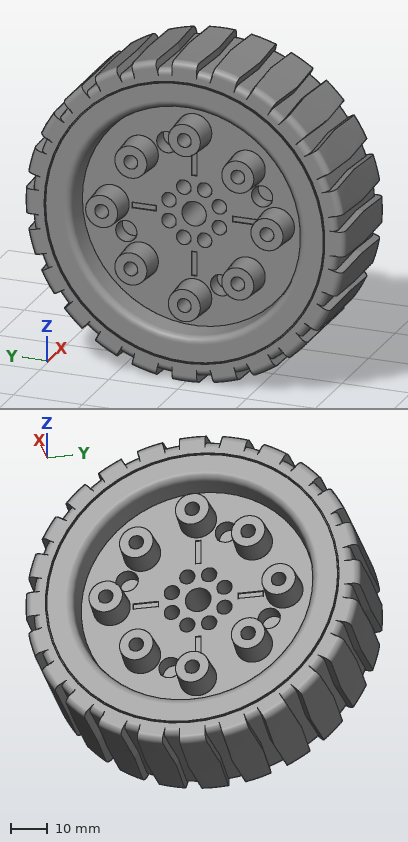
import cadquery as cq

outer_radius = 46.5
width = 30.0
half_width = width / 2
root_radius = 44.4
shoulder_radius = 1.9

lug_count = 24
lug_edge_width = 7.2
lug_middle_width = 8.9
lug_block_height = 7.4
lug_block_base = 40.0

seam_outer_radius = 40.7
seam_width = 0.4
seam_depth = 0.3

recess_depth = 7.4
recess_floor_radius = 32.5
recess_mouth_radius = 33.3
recess_edge_fillet = 2.0

boss_base_radius = 5.1
boss_top_radius = 4.65
boss_hole_diameter = 4.0
straight_boss_distance = 24.0
diagonal_boss_distance = 21.95

bore_diameter = 7.1
hub_hole_count = 8
hub_hole_diameter = 4.2
hub_hole_distance = 7.9

blind_hole_diameter = 6.1
blind_hole_depth = 5.0
blind_hole_y = 7.8
blind_hole_z = 19.7
slot_inner_end = 11.1
slot_outer_end = 18.0
slot_width = 1.6
slot_depth = 0.5

quarter_turns = (0, 90, 180, 270)
floor_x = -half_width + recess_depth


def turned(shape, angle):
    """Turn a shape about the wheel axis."""
    return shape.rotate((0, 0, 0), (1, 0, 0), angle)


def mirrored(shape):
    """The same shape on the opposite side of the wheel."""
    return shape.mirror("YZ")


def cylinder_along_x(start_x, radius, length):
    return cq.Workplane("YZ", origin=(start_x, 0, 0)).circle(radius).extrude(length)


def rounded_disc(radius):
    """Full-width disc with both rims rounded."""
    return cylinder_along_x(-half_width, radius, width).edges().fillet(shoulder_radius)


def make_lugs():
    """Lugs that widen towards the middle of the tyre, trimmed to the outer round."""
    edge = lug_edge_width / 2
    middle = lug_middle_width / 2
    outline = [
        (-half_width, -edge),
        (0, -middle),
        (half_width, -edge),
        (half_width, edge),
        (0, middle),
        (-half_width, edge),
    ]
    block = cq.Workplane("XY", origin=(0, 0, lug_block_base)).polyline(outline).close()
    block = block.extrude(lug_block_height)
    lug = block.intersect(rounded_disc(outer_radius))
    return [turned(lug, i * 360 / lug_count) for i in range(lug_count)]


def make_recess():
    """Tapered round recess in the -X side."""
    profile = [
        (-half_width, 0),
        (floor_x, 0),
        (floor_x, recess_floor_radius),
        (-half_width, recess_mouth_radius),
    ]
    return cq.Workplane("XY").polyline(profile).close().revolve(360, (0, 0, 0), (1, 0, 0))


def make_seam():
    outer = cylinder_along_x(-half_width, seam_outer_radius, seam_depth)
    inner = cylinder_along_x(-half_width, seam_outer_radius - seam_width, seam_depth)
    return outer.cut(inner)


def boss_centers():
    """(turn, distance) of each boss from the wheel axis."""
    straight = [(angle, straight_boss_distance) for angle in quarter_turns]
    diagonal = [(angle + 45, diagonal_boss_distance) for angle in quarter_turns]
    return straight + diagonal


def make_boss():
    """Tapered boss on the wheel axis."""
    top = cq.Vector(-half_width, 0, 0)
    axis = cq.Vector(1, 0, 0)
    return cq.Workplane(cq.Solid.makeCone(boss_top_radius, boss_base_radius, recess_depth, top, axis))


def make_slot():
    length = slot_outer_end - slot_inner_end
    middle = (slot_outer_end + slot_inner_end) / 2
    return cq.Workplane("YZ", origin=(floor_x, 0, middle)).rect(slot_width, length).extrude(slot_depth)


def make_blind_hole():
    hole = cylinder_along_x(floor_x, blind_hole_diameter / 2, blind_hole_depth)
    return hole.translate((0, blind_hole_y, blind_hole_z))


wheel = rounded_disc(root_radius)
recess = make_recess()
wheel = wheel.cut(recess).cut(mirrored(recess))
smallest_circle = cq.selectors.RadiusNthSelector(0)
for side in ("<X", ">X"):
    wheel = wheel.faces(side).edges(smallest_circle).fillet(recess_edge_fillet)

for lug in make_lugs():
    wheel = wheel.union(lug)

seam = make_seam()
wheel = wheel.cut(seam).cut(mirrored(seam))

boss_hole = cylinder_along_x(-half_width, boss_hole_diameter / 2, width)
for angle, distance in boss_centers():
    boss = turned(make_boss().translate((0, 0, distance)), angle)
    wheel = wheel.union(boss).union(mirrored(boss))
    wheel = wheel.cut(turned(boss_hole.translate((0, 0, distance)), angle))

wheel = wheel.cut(cylinder_along_x(-half_width, bore_diameter / 2, width))
hub_hole = cylinder_along_x(-half_width, hub_hole_diameter / 2, width).translate((0, 0, hub_hole_distance))
for i in range(hub_hole_count):
    wheel = wheel.cut(turned(hub_hole, (i + 0.5) * 360 / hub_hole_count))

for angle in quarter_turns:
    for pocket in (make_slot(), make_blind_hole()):
        pocket = turned(pocket, angle)
        wheel = wheel.cut(pocket).cut(mirrored(pocket))

result = wheel